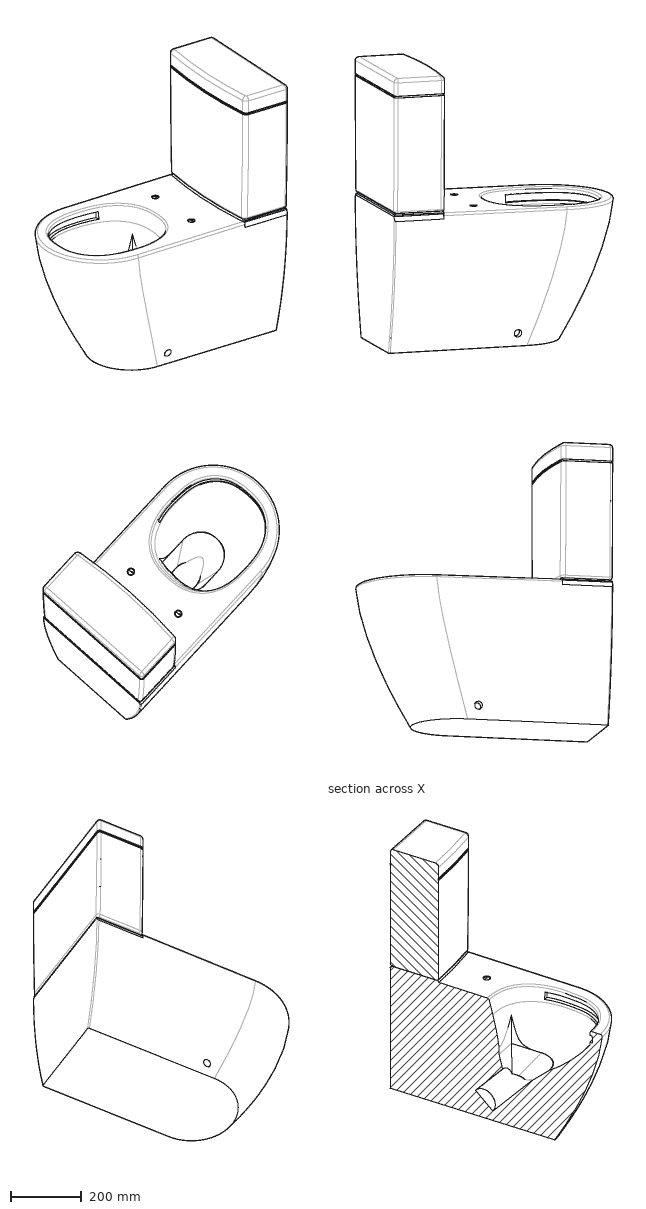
import cadquery as cq
import math


selection_margin = 1.0
total_height = 800.68
total_width = 383.14
total_depth = 700.52

foot_half_width = 132.5
deck_half_width = 187.5
foot_depth = 543.0
rounding_loss = 0.9
shell_depth = total_depth + rounding_loss
side_flare_power = 1.95
front_flare_power = 1.55
shell_section_count = 7
deck_height_back = 407.0
deck_height_front = 401.5
deck_edge_radius = 7.0
pan_back_edge_radius = 4.0

plinth_base_height = 403.0
plinth_height = 411.0
plinth_half_width = 182.0
plinth_side_depth = 152.0
plinth_center_depth = 164.0
plinth_corner_radius = 4.0
plinth_taper = 40.0
shoulder_height = 389.0
shoulder_inset = 8.0
shoulder_depth = 147.0

cistern_half_width = total_width / 2
cistern_bottom_half_width = 185.5
cistern_side_depth = 149.0
cistern_center_depth = 161.0
cistern_front_edge_radius = 13.0
cistern_back_edge_radius = 9.0
cistern_top_radius = 11.0
cistern_bottom_radius = 6.0
lid_groove_height = 748.5
lid_groove_width = 5.0
lid_groove_depth = 2.0

oval_exponent = 2.4
oval_point_count = 16
opening_center_depth = 492.0
opening_half_width = 144.0
opening_half_length = 167.0
rim_radius = 6.0
ledge_height = 355.0
ledge_center_depth = 499.0
ledge_half_width = 137.0
ledge_half_length = 160.0
bowl_middle_height = 285.0
bowl_middle_center_depth = 476.0
bowl_middle_half_width = 114.0
bowl_middle_half_length = 121.0
bowl_floor_height = 229.0
bowl_floor_center_depth = 444.0
bowl_floor_half_width = 67.0
bowl_floor_half_length = 82.0

channel_half_width = 150.0
channel_half_length = 174.0
channel_bottom = 364.0
channel_top = 386.0
channel_back_depth = 431.0

sump_half_width = 67.0
sump_front_depth = 526.0
sump_back_depth = 360.0
sump_floor_height = 150.0
sump_floor_half_width = 38.0
sump_floor_front_depth = 440.0
sump_floor_back_depth = 380.0
trap_radius = 38.0
trap_front_depth = 466.0
trap_front_height = 174.0
trap_angle = 48.0
trap_length = 190.0

seat_hole_spacing = 181.0
seat_hole_depth_position = 265.0
seat_hole_diameter = 17.0
seat_hole_mouth_diameter = 21.0
seat_hole_length = 40.0
fixing_hole_diameter = 22.0
fixing_hole_depth_position = 381.0
fixing_hole_height = 39.0
fixing_hole_bottom = 120.0


def bowed_outline(back_depth, half_width, side_depth, center_depth):
    """Rectangle seen from above whose front side is slightly bowed."""
    return (
        cq.Workplane("XY")
        .moveTo(-half_width, -back_depth)
        .lineTo(-half_width, -side_depth)
        .threePointArc((0, -center_depth), (half_width, -side_depth))
        .lineTo(half_width, -back_depth)
        .close()
    )


def u_outline(height, half_width, front_depth, back_depth):
    """U-shaped wire: straight sides from the back, closed by a half circle at the front."""
    arc_start = front_depth - half_width
    return (
        cq.Workplane("XY", origin=(0, 0, height))
        .moveTo(-half_width, -back_depth)
        .lineTo(-half_width, -arc_start)
        .threePointArc((0, -front_depth), (half_width, -arc_start))
        .lineTo(half_width, -back_depth)
        .close()
        .val()
    )


def shell_section(height):
    """Pan outline at a height, flaring from the foot to the deck."""
    below_deck = 1 - height / deck_height_back
    half_width = deck_half_width - (deck_half_width - foot_half_width) * below_deck**side_flare_power
    depth = shell_depth - (shell_depth - foot_depth) * below_deck**front_flare_power
    return u_outline(height, half_width, depth, 0)


def make_shell():
    heights = [deck_height_back * i / (shell_section_count - 1) for i in range(shell_section_count)]
    shell = cq.Workplane(cq.Solid.makeLoft([shell_section(height) for height in heights]))
    above_deck = (
        cq.Workplane("YZ", origin=(-total_width, 0, 0))
        .moveTo(0, deck_height_back)
        .lineTo(-shell_depth, deck_height_front)
        .lineTo(-shell_depth, total_height)
        .lineTo(0, total_height)
        .close()
        .extrude(2 * total_width)
    )
    return shell.cut(above_deck)


def round_shell_edges(shell):
    """Rounds the deck outline at the sides and front, and the upright edges of the back face."""
    deck_region = cq.selectors.BoxSelector(
        (-total_width, -2 * total_depth, deck_height_front - selection_margin),
        (total_width, -selection_margin, deck_height_back + selection_margin),
    )
    deck_edges = shell.edges(deck_region).edges("%BSPLINE")
    shell = deck_edges.fillet(deck_edge_radius)
    return shell.faces(">Y").edges("<X or >X").fillet(pan_back_edge_radius)


def make_shoulders():
    """Wedges that bevel the side edges of the deck next to the plinth."""
    outer = total_width / 2
    top_half_width = deck_half_width - shoulder_inset
    wedge = (
        cq.Workplane("XZ")
        .moveTo(deck_half_width, shoulder_height)
        .lineTo(top_half_width, deck_height_back)
        .lineTo(outer, deck_height_back)
        .lineTo(outer, shoulder_height)
        .close()
        .extrude(shoulder_depth)
    )
    return [wedge, wedge.mirror("YZ")]


def make_plinth():
    """Low platform with sloping sides, resting on the deck."""
    rise = plinth_height - plinth_base_height
    block = bowed_outline(0, plinth_half_width, plinth_side_depth, plinth_center_depth).extrude(rise)
    block = block.edges("|Z").fillet(plinth_corner_radius)
    rounded_outline = block.faces("<Z").wires().toPending()
    plinth = rounded_outline.extrude(rise, combine=False, taper=plinth_taper)
    return plinth.translate((0, 0, plinth_base_height))


def oval(height, center_depth, half_width, half_length):
    """Workplane holding a closed oval that is fuller than an ellipse (a superellipse)."""
    def point(index):
        angle = 2 * math.pi * index / oval_point_count
        x_ratio = math.copysign(abs(math.cos(angle)) ** (2 / oval_exponent), math.cos(angle))
        y_ratio = math.copysign(abs(math.sin(angle)) ** (2 / oval_exponent), math.sin(angle))
        return half_width * x_ratio, half_length * y_ratio

    return cq.Workplane("XY", origin=(0, -center_depth, height)).spline(
        [point(index) for index in range(oval_point_count)], periodic=True
    ).close()


def oval_wire(*sizes):
    return oval(*sizes).val()


def make_opening():
    """Wall of the seat opening, from the ledge up through the deck."""
    ledge = oval_wire(ledge_height, ledge_center_depth, ledge_half_width, ledge_half_length)
    deck = oval_wire(deck_height_back, opening_center_depth, opening_half_width, opening_half_length)
    return cq.Workplane(cq.Solid.makeLoft([ledge, deck], True))


def make_basin():
    """Hollow basin below the ledge."""
    sections = [
        oval_wire(bowl_floor_height, bowl_floor_center_depth, bowl_floor_half_width, bowl_floor_half_length),
        oval_wire(
            bowl_middle_height, bowl_middle_center_depth, bowl_middle_half_width, bowl_middle_half_length
        ),
        oval_wire(ledge_height, ledge_center_depth, ledge_half_width, ledge_half_length),
    ]
    return cq.Workplane(cq.Solid.makeLoft(sections))


def make_channel():
    """Flushing groove under the rim, only in front of its back end."""
    height = channel_top - channel_bottom
    ring = oval(channel_bottom, opening_center_depth, channel_half_width, channel_half_length).extrude(height)
    front = (
        cq.Workplane("XY", origin=(0, -channel_back_depth - total_depth / 2, channel_bottom))
        .rect(total_width, total_depth)
        .extrude(height)
    )
    return ring.intersect(front)


def make_sump():
    """Upright upper part and narrowing lower part of the sump."""
    top, neck = [
        u_outline(height, sump_half_width, sump_front_depth, sump_back_depth)
        for height in (ledge_height, bowl_floor_height)
    ]
    floor = u_outline(
        sump_floor_height, sump_floor_half_width, sump_floor_front_depth, sump_floor_back_depth
    )
    upper = cq.Workplane(cq.Solid.makeLoft([neck, top], True))
    lower = cq.Workplane(cq.Solid.makeLoft([floor, neck], True))
    return upper, lower


def make_trap():
    """Round passage that starts on the front slope of the sump and falls towards the back."""
    slope = math.radians(trap_angle)
    direction = cq.Vector(0, math.cos(slope), -math.sin(slope))
    start = cq.Vector(
        0,
        -trap_front_depth + trap_radius * math.sin(slope),
        trap_front_height + trap_radius * math.cos(slope),
    )
    return cq.Workplane(cq.Solid.makeCylinder(trap_radius, trap_length, start, direction))


def make_seat_holes():
    """Mounting holes for the seat, each with a conical mouth, drilled down into the deck."""
    mouth_depth = (seat_hole_mouth_diameter - seat_hole_diameter) / 2
    deck_slope = (deck_height_back - deck_height_front) / shell_depth
    deck_height = deck_height_back - deck_slope * seat_hole_depth_position
    hole = (
        cq.Workplane("XZ")
        .lineTo(seat_hole_mouth_diameter / 2, 0)
        .lineTo(seat_hole_diameter / 2, -mouth_depth)
        .lineTo(seat_hole_diameter / 2, -seat_hole_length)
        .lineTo(0, -seat_hole_length)
        .close()
        .revolve(360, (0, 0, 0), (0, 1, 0))
    )
    return [
        hole.translate((side * seat_hole_spacing / 2, -seat_hole_depth_position, deck_height))
        for side in (-1, 1)
    ]


def make_fixing_holes():
    """Blind holes low in both side walls for the floor fixings."""
    length = total_width / 2 - fixing_hole_bottom
    start = cq.Workplane("YZ").center(-fixing_hole_depth_position, fixing_hole_height)
    return [
        start.workplane(offset=side * fixing_hole_bottom)
        .circle(fixing_hole_diameter / 2)
        .extrude(side * length)
        for side in (-1, 1)
    ]


def round_rim(pan):
    """Rounds the edge where the seat opening meets the deck."""
    margin = selection_margin
    half_width = opening_half_width + margin
    half_length = opening_half_length + margin
    rim_region = cq.selectors.BoxSelector(
        (-half_width, -opening_center_depth - half_length, deck_height_front - margin),
        (half_width, -opening_center_depth + half_length, deck_height_back + margin),
        boundingbox=True,
    )
    return pan.edges(rim_region).fillet(rim_radius)


def make_pan():
    pan = round_shell_edges(make_shell())
    for shoulder in make_shoulders():
        pan = pan.cut(shoulder)
    pan = pan.union(make_plinth())
    pan = round_rim(pan.cut(make_opening()))
    cutters = [
        make_basin(),
        make_channel(),
        *make_sump(),
        make_trap(),
        *make_seat_holes(),
        *make_fixing_holes(),
    ]
    for cutter in cutters:
        pan = pan.cut(cutter)
    return pan


def cistern_plan(inset):
    """Cistern outline seen from above, moved inwards by the inset."""
    return bowed_outline(
        inset, cistern_half_width - inset, cistern_side_depth - inset, cistern_center_depth - inset
    )


def make_cistern():
    bottom = plinth_height
    middle_height = (bottom + lid_groove_height) / 2
    inset = cistern_half_width - cistern_bottom_half_width
    middle_half_width = cistern_half_width - inset / 4
    front_face = (
        cq.Workplane("XZ")
        .moveTo(-cistern_bottom_half_width, bottom)
        .threePointArc((-middle_half_width, middle_height), (-cistern_half_width, lid_groove_height))
        .lineTo(-cistern_half_width, total_height)
        .lineTo(cistern_half_width, total_height)
        .lineTo(cistern_half_width, lid_groove_height)
        .threePointArc((middle_half_width, middle_height), (cistern_bottom_half_width, bottom))
        .close()
        .extrude(total_depth)
    )
    plan = cistern_plan(0).extrude(total_height)
    cistern = front_face.intersect(plan)
    lowest = bottom + selection_margin
    highest = total_height - selection_margin
    front_corners = cq.selectors.BoxSelector(
        (-total_width, -total_depth, lowest), (total_width, -cistern_side_depth / 2, highest)
    )
    back_corners = cq.selectors.BoxSelector(
        (-total_width, -selection_margin, lowest), (total_width, selection_margin, highest)
    )
    cistern = cistern.edges(front_corners).fillet(cistern_front_edge_radius)
    cistern = cistern.edges(back_corners).fillet(cistern_back_edge_radius)
    cistern = cistern.faces(">Z").edges().fillet(cistern_top_radius)
    cistern = cistern.faces("<Z").edges().fillet(cistern_bottom_radius)
    return cistern


def make_lid_groove():
    """Ring that cuts the shadow gap between the cistern and its lid."""
    core = cistern_plan(lid_groove_depth).extrude(lid_groove_width)
    core = core.edges("|Z").edges("<Y").fillet(cistern_front_edge_radius)
    core = core.edges("|Z").edges(">Y").fillet(cistern_back_edge_radius)
    slab = cq.Workplane("XY").rect(2 * total_width, 2 * total_depth).extrude(lid_groove_width)
    return slab.cut(core).translate((0, 0, lid_groove_height - lid_groove_width / 2))


pan = make_pan()
cistern = make_cistern()
cistern = cistern.cut(make_lid_groove())

result = cq.Compound.makeCompound([pan.val(), cistern.val()])